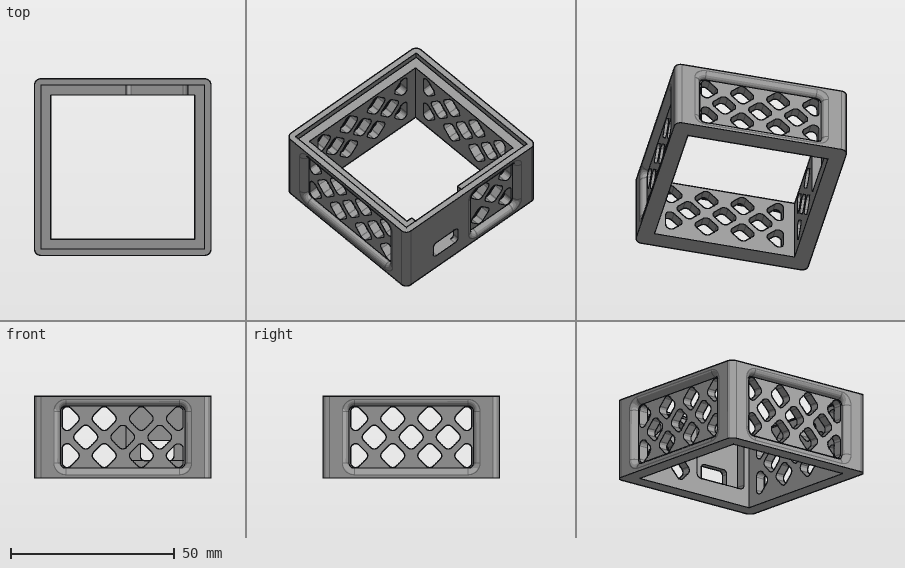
import cadquery as cq
import math

side = 54.0
height = 25.0
corner_radius = 2.0
wall = 5.0
lip_thickness = 2.0
seat_depth = 2.0

panel_length = 42.0
panel_height = 23.0
panel_depth = 2.0
rim_radius = 2.0
panel_floor_corner = 1.6

lattice_pitch = 8.0
diamond_side = 6.0
diamond_rounding = 1.5
end_column = 3

bay_left = 1.0
bay_right = 20.0
bay_floor = 5.35
bay_rounding = 1.5
slot_length = 10.15
slot_height = 6.05
slot_rounding = 1.3

half_side = side / 2
opening = side - 2 * wall
seat_side = side - 2 * lip_thickness
lattice_step = lattice_pitch / math.sqrt(2)
diamond_core = (diamond_side - 2 * diamond_rounding) / math.sqrt(2)


def block(x_range, y_range, z_range):
    """Box filling the given ranges along X, Y and Z."""
    (x0, x1), (y0, y1), (z0, z1) = x_range, y_range, z_range
    return cq.Workplane("XY").box(x1 - x0, y1 - y0, z1 - z0, centered=False).translate((x0, y0, z0))


def turned(shape, angle):
    """Shape carried from the front wall to another wall around the Z axis."""
    return shape.rotate((0, 0, 0), (0, 0, 1), angle)


def make_shell():
    shell = cq.Workplane("XY").rect(side, side).extrude(height).edges("|Z").fillet(corner_radius)
    shaft = cq.Workplane("XY").rect(opening, opening).extrude(height)
    seat_plane = cq.Workplane("XY", origin=(0, 0, height - seat_depth))
    seat = seat_plane.rect(seat_side, seat_side).extrude(seat_depth)
    return shell.cut(shaft).cut(seat)


def panel_recess(x_start, x_end):
    """Front wall recess between two outer rim positions, widening outward along its rounded rim."""
    floor_bottom = (height - panel_height) / 2 + rim_radius
    window = block(
        (x_start + rim_radius, x_end - rim_radius),
        (-half_side, wall - half_side),
        (floor_bottom, height - floor_bottom),
    )
    window = window.edges("|Y").fillet(panel_floor_corner)
    slab = block((-half_side, half_side), (-half_side, wall - half_side), (0, height))
    frame = slab.cut(window)
    rim = frame.faces("<Y").val().innerWires()[0]
    frame = frame.newObject(rim.Edges()).fillet(rim_radius)
    skin = block((-half_side, half_side), (-half_side, panel_depth - half_side), (0, height))
    return skin.cut(frame)


def lattice_hole(column, row):
    """Rounded diamond through the front wall, or its inner half in an end column."""
    corners = [(0, diamond_core), (0, -diamond_core)]
    if column > -end_column:
        corners.append((-diamond_core, 0))
    if column < end_column:
        corners.insert(1, (diamond_core, 0))
    centre = (column * lattice_step, -half_side, height / 2 + row * lattice_step)
    outline = cq.Workplane("XZ", origin=centre).polyline(corners).close()
    return outline.offset2D(diamond_rounding).extrude(-wall)


def cut_lattice(body, columns, angle):
    """Staggered holes in three rows through the wall at the given angle."""
    for row in (-1, 0, 1):
        for column in columns:
            if (column + row) % 2 == 0:
                body = body.cut(turned(lattice_hole(column, row), angle))
    return body


def cut_device_bay(body):
    bay = block((bay_left, bay_right), (half_side - wall, half_side - lip_thickness), (bay_floor, height))
    bay = bay.edges("|Y and <Z").fillet(bay_rounding)
    slot_left = (bay_left + bay_right - slot_length) / 2
    slot = block(
        (slot_left, slot_left + slot_length),
        (half_side - wall, half_side),
        (bay_floor, bay_floor + slot_height),
    )
    return body.cut(bay).cut(slot.edges("|Y").fillet(slot_rounding))


result = make_shell()

for wall_angle in (0, 90, -90):
    result = result.cut(turned(panel_recess(-panel_length / 2, panel_length / 2), wall_angle))
    result = cut_lattice(result, range(-end_column, end_column + 1), wall_angle)

back_angle = 180
result = result.cut(turned(panel_recess(-bay_left, panel_length / 2), back_angle))
result = cut_lattice(result, range(1, end_column + 1), back_angle)
result = cut_device_bay(result)